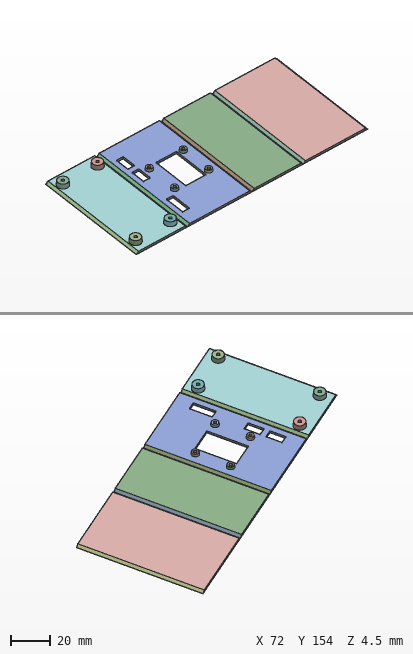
import cadquery as cq

width = 72.0
length = 154.0
thickness = 1.5
hinge_skin = 0.08

short_panel = 34.0
long_panel = length / 2 - short_panel
panel_lengths = [short_panel, long_panel, short_panel, long_panel]

pilot_diameter = 1.7
total_height = 4.5
mount_height = total_height - thickness
mount_base_diameter = 7.0
mount_top_diameter = 6.3
mount_spacing_x = 57.9
mount_spacing_y = 23.1
mount_center_y = -length / 2 + short_panel / 2

display_boss_height = 1.5
display_boss_base_diameter = 4.5
display_boss_top_diameter = 3.8
display_boss_spacing_x = 20.2
display_boss_spacing_y = 22.6
display_boss_center_y = -18.5

display_width = 23.7
display_height = 13.5
display_center_y = -17.1
port_height = 4.5
port_center_y = -36.0
small_port_width = 9.1
wide_port_width = 13.0
ports = [(-21.5, small_port_width), (-9.1, small_port_width), (20.2, wide_port_width)]


def panel(start_y, panel_length):
    """One panel whose two fold edges are bevelled at 45 degrees."""
    end_y = start_y + panel_length
    return (
        cq.Workplane("YZ")
        .polyline([
            (start_y, 0),
            (end_y, 0),
            (end_y - thickness, thickness),
            (start_y + thickness, thickness),
        ])
        .close()
        .extrude(width / 2, both=True)
    )


def hinge(fold_y):
    """Thin strip that joins two neighbouring panels along their fold."""
    return (
        cq.Workplane("XY")
        .center(0, fold_y)
        .rect(width, 2 * thickness)
        .extrude(hinge_skin)
    )


def opening(x, y, size_x, size_y):
    """Cutter for a rectangular opening through the sheet."""
    return cq.Workplane("XY").center(x, y).rect(size_x, size_y).extrude(thickness)


def bosses(center_y, spacing_x, spacing_y, base_diameter, top_diameter, height):
    """Four hollow tapered bosses at the corners of a rectangle."""
    profile = (
        cq.Workplane("XZ")
        .polyline([
            (pilot_diameter / 2, 0),
            (base_diameter / 2, 0),
            (top_diameter / 2, height),
            (pilot_diameter / 2, height),
        ])
        .close()
    )
    boss = profile.revolve(360, (0, 0), (0, 1)).val()
    return (
        cq.Workplane("XY", origin=(0, center_y, thickness))
        .rarray(spacing_x, spacing_y, 2, 2)
        .eachpoint(lambda place: boss.moved(place))
    )


fold_y = -length / 2
sheet = panel(fold_y, panel_lengths[0])
for previous_length, next_length in zip(panel_lengths, panel_lengths[1:]):
    fold_y += previous_length
    sheet = sheet.union(panel(fold_y, next_length)).union(hinge(fold_y))

sheet = sheet.cut(opening(0, display_center_y, display_width, display_height))
for port_x, port_width in ports:
    sheet = sheet.cut(opening(port_x, port_center_y, port_width, port_height))

mounts = bosses(
    mount_center_y, mount_spacing_x, mount_spacing_y,
    mount_base_diameter, mount_top_diameter, mount_height,
)
display_bosses = bosses(
    display_boss_center_y, display_boss_spacing_x, display_boss_spacing_y,
    display_boss_base_diameter, display_boss_top_diameter, display_boss_height,
)
result = sheet.union(mounts).union(display_bosses)